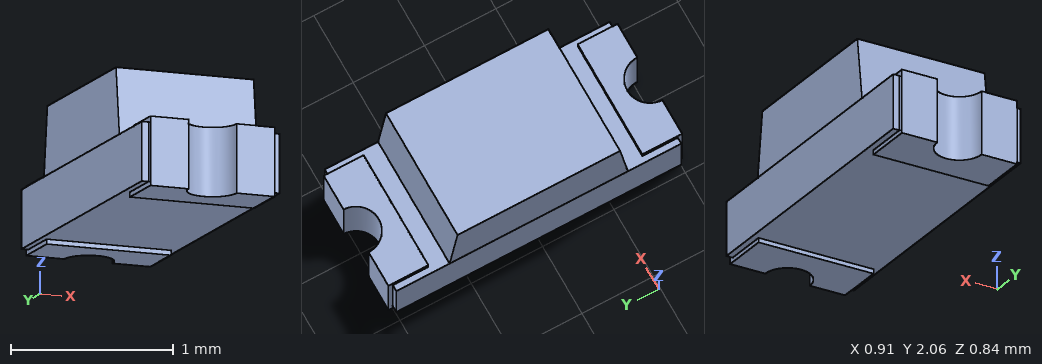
import cadquery as cq

LENGTH = 2.06
WIDTH = 0.91
HEIGHT = 0.84
PLATING = 0.03
BOARD_THICKNESS = 0.375
TERMINAL_WIDTH = 0.822
TOP_PAD_LENGTH = 0.28
BOTTOM_PAD_LENGTH = 0.342
NOTCH_RADIUS = 0.159
LENS_BASE_LENGTH = 1.25
LENS_TOP_LENGTH = 1.14

END_Y = LENGTH / 2
BOARD_LENGTH = LENGTH - 2 * PLATING
BOARD_TOP = PLATING + BOARD_THICKNESS
TERMINAL_HEIGHT = BOARD_TOP + PLATING
LENS_HEIGHT = HEIGHT - BOARD_TOP
BOARD_NOTCH_RADIUS = NOTCH_RADIUS + PLATING


def block(width, length, height, bottom, center_y=0):
    """Box centred on X, standing on the level `bottom`."""
    return cq.Workplane(
        "XY", origin=(0, center_y, bottom)
    ).box(width, length, height, centered=(True, True, False))


def notch_cylinder(radius, end):
    """Upright cylinder on the end face; `end` is -1 or +1 along Y."""
    return cq.Workplane("XY", origin=(0, end * END_Y, 0)).circle(radius).extrude(TERMINAL_HEIGHT)


def make_board():
    """Flat board with a notch at each end that leaves room for the plating."""
    board = block(WIDTH, BOARD_LENGTH, BOARD_THICKNESS, PLATING)
    for end in (-1, 1):
        board = board.cut(notch_cylinder(BOARD_NOTCH_RADIUS, end))
    return board


def make_lens():
    """Full-width lens whose two end faces slope inward."""
    return (
        cq.Workplane("YZ", origin=(-WIDTH / 2, 0, BOARD_TOP))
        .moveTo(-LENS_BASE_LENGTH / 2, 0)
        .lineTo(LENS_BASE_LENGTH / 2, 0)
        .lineTo(LENS_TOP_LENGTH / 2, LENS_HEIGHT)
        .lineTo(-LENS_TOP_LENGTH / 2, LENS_HEIGHT)
        .close()
        .extrude(WIDTH)
    )


def end_block(length, height, bottom, end):
    """Terminal-wide block reaching inward from the outer end face."""
    return block(TERMINAL_WIDTH, length, height, bottom, end * (END_Y - length / 2))


def make_terminal(end, board):
    """Plating that wraps one board end and lines its notch."""
    bottom_pad = end_block(BOTTOM_PAD_LENGTH, PLATING, 0, end)
    upper_wrap = end_block(TOP_PAD_LENGTH, TERMINAL_HEIGHT - PLATING, PLATING, end)
    return bottom_pad.union(upper_wrap).cut(board).cut(notch_cylinder(NOTCH_RADIUS, end))


board = make_board()
lens = make_lens()
terminals = [make_terminal(end, board) for end in (-1, 1)]

result = cq.Compound.makeCompound(
    [board.val(), lens.val(), *[terminal.solids().val() for terminal in terminals]]
)